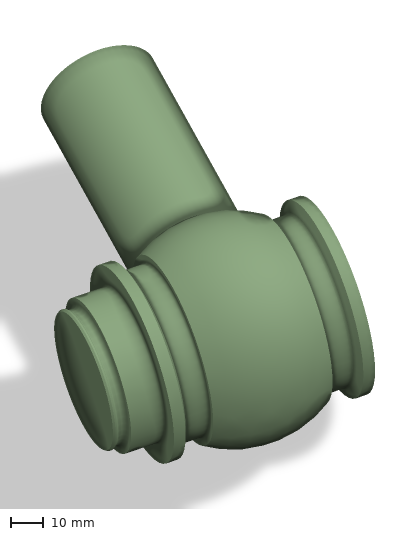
import cadquery as cq
import math

ball_radius = 73.0 / 2
ball_half_width = 19.8

overall_length = 138.5
pipe_radius = 38.1 / 2
pipe_end_x = ball_radius - overall_length
collar_radius = 19.5
collar_end_x = -31.3

neck_radius = 55.7 / 2
flange_radius = 63.8 / 2
flange_face_y = 33.4
rim_width = 3.9
taper_width = 1.8
taper_fillet_plain_side = 0.8
taper_fillet_spigot_side = 0.3
neck_root_fillet = 0.7

overall_depth = 82.8
spigot_end_y = flange_face_y - overall_depth
spigot_radius = 50.1 / 2
spigot_root_fillet = 0.7
spigot_shoulder_y = -44.6
groove_radius = 43.9 / 2
groove_fillet = 1.7
lip_radius = 45.4 / 2
lip_width = 1.2
lip_chamfer_width = 0.7
lip_chamfer_height = 0.4


def rod_x(radius, start_x, end_x):
    """Cylinder about the X axis between two X positions."""
    return cq.Workplane("YZ", origin=(start_x, 0, 0)).circle(radius).extrude(end_x - start_x)


def revolve_y(profile):
    """Full turn about the Y axis of a closed profile of (radius, y) points."""
    return profile.close().revolve(360, (0, 0), (0, 1))


def root_fillet(inner_radius, wall_y, size):
    """Ring that rounds the corner between a shaft and the wall on its +Y side."""
    bend = size * (1 - math.sqrt(0.5))
    return revolve_y(
        cq.Workplane("XY")
        .moveTo(0, wall_y)
        .lineTo(inner_radius + size, wall_y)
        .threePointArc((inner_radius + bend, wall_y - bend), (inner_radius, wall_y - size))
        .lineTo(0, wall_y - size)
    )


def make_ball():
    """Sphere with two flat sides square to the Y axis."""
    side_radius = math.sqrt(ball_radius**2 - ball_half_width**2)
    return revolve_y(
        cq.Workplane("XY")
        .moveTo(0, -ball_half_width)
        .lineTo(side_radius, -ball_half_width)
        .threePointArc((ball_radius, 0), (side_radius, ball_half_width))
        .lineTo(0, ball_half_width)
    )


def make_ferrule(taper_fillet):
    """Neck and tapered clamping flange on the +Y side."""
    rim_back_y = flange_face_y - rim_width
    taper_start_y = rim_back_y - taper_width
    ferrule = revolve_y(
        cq.Workplane("XY")
        .lineTo(neck_radius, 0)
        .lineTo(neck_radius, taper_start_y)
        .lineTo(flange_radius, rim_back_y)
        .lineTo(flange_radius, flange_face_y)
        .lineTo(0, flange_face_y)
    )
    corner_zone = cq.selectors.BoxSelector(
        (-neck_radius - 1.4, taper_start_y - 0.1, -neck_radius - 1.4),
        (neck_radius + 1.4, taper_start_y + 0.1, neck_radius + 1.4),
    )
    return ferrule.edges(corner_zone).fillet(taper_fillet)


def make_spigot():
    """Stepped plug with a rounded retaining groove and a chamfered end lip."""
    lip_back_y = spigot_end_y + lip_width
    sweep = math.acos(1 - (lip_radius - groove_radius) / groove_fillet)
    fillet_start_y = lip_back_y + groove_fillet * math.sin(sweep)
    fillet_middle = (
        groove_radius + groove_fillet * (1 - math.cos(sweep / 2)),
        fillet_start_y - groove_fillet * math.sin(sweep / 2),
    )
    plug = revolve_y(
        cq.Workplane("XY")
        .lineTo(spigot_radius, 0)
        .lineTo(spigot_radius, spigot_shoulder_y)
        .lineTo(groove_radius, spigot_shoulder_y)
        .lineTo(groove_radius, fillet_start_y)
        .threePointArc(fillet_middle, (lip_radius, lip_back_y))
        .lineTo(lip_radius, spigot_end_y + lip_chamfer_width)
        .lineTo(lip_radius - lip_chamfer_height, spigot_end_y)
        .lineTo(0, spigot_end_y)
    )
    return (
        plug
        .union(root_fillet(spigot_radius, -flange_face_y, spigot_root_fillet))
        .union(root_fillet(groove_radius, spigot_shoulder_y, groove_fillet))
    )


result = (
    make_ball()
    .union(rod_x(pipe_radius, pipe_end_x, 0))
    .union(rod_x(collar_radius, collar_end_x, 0))
    .union(make_ferrule(taper_fillet_plain_side))
    .union(make_ferrule(taper_fillet_spigot_side).mirror("XZ"))
    .union(root_fillet(neck_radius, -ball_half_width, neck_root_fillet))
    .union(make_spigot())
)